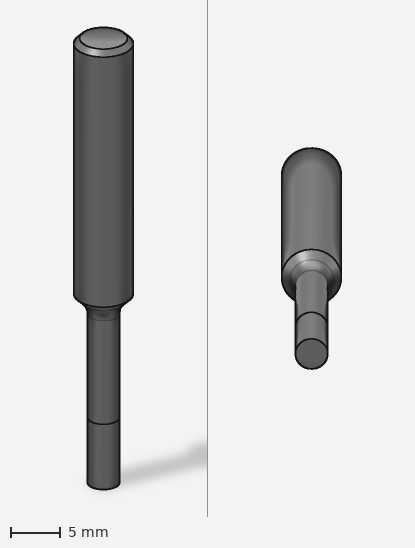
import cadquery as cq
import math

total_length = 50.0
shank_radius = 3.0
neck_radius = 1.625

tip_length = 7.35
neck_top = 19.05

fillet_radius = 2.0
cone_angle = math.radians(45)

chamfer_size = 0.6


def fillet_point(angle):
    """Radius and height on the neck fillet, at an angle swept from the neck."""
    radius = neck_radius + fillet_radius * (1 - math.cos(angle))
    height = neck_top + fillet_radius * math.sin(angle)
    return radius, height


def make_tip():
    """Plain cylindrical cutting tip."""
    return cq.Workplane("XY").circle(neck_radius).extrude(tip_length)


def make_holder():
    """Neck, flared transition and chamfered shank, revolved about Z."""
    cone_start = fillet_point(cone_angle)
    cone_top = cone_start[1] + (shank_radius - cone_start[0]) / math.tan(cone_angle)
    return (
        cq.Workplane("XZ")
        .moveTo(0, tip_length)
        .lineTo(neck_radius, tip_length)
        .lineTo(neck_radius, neck_top)
        .threePointArc(fillet_point(cone_angle / 2), cone_start)
        .lineTo(shank_radius, cone_top)
        .lineTo(shank_radius, total_length - chamfer_size)
        .lineTo(shank_radius - chamfer_size, total_length)
        .lineTo(0, total_length)
        .close()
        .revolve(360, (0, 0, 0), (0, 1, 0))
    )


tip = make_tip()
holder = make_holder()

result = cq.Compound.makeCompound([tip.val(), holder.val()])